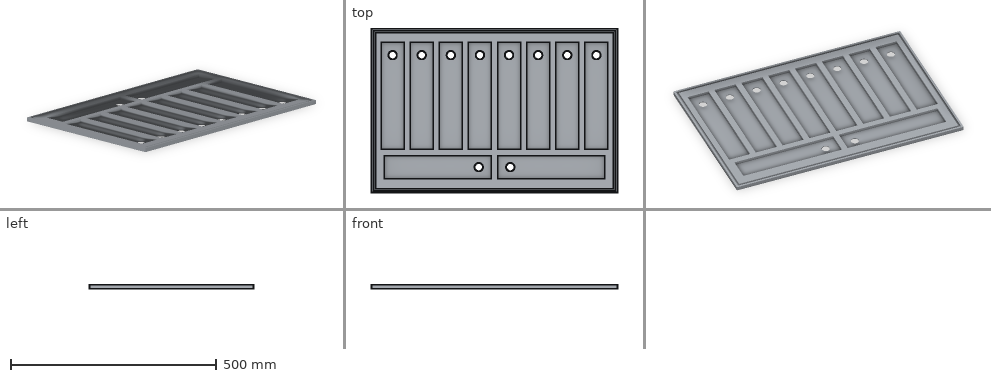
import cadquery as cq

LENGTH = 600.0
WIDTH = 400.0
THICKNESS = 10.0

RIM_WIDTH = 5.0
GROOVE_WIDTH = 5.0
GROOVE_DEPTH = 5.0

POCKET_LENGTH = 261.0
POCKET_WIDTH = 56.0
POCKET_GAP = 15.0
POCKET_DEPTH = 8.0
UPRIGHT_COUNT = 8
FIELD_CENTER_Y = 0.5

HOLE_DIAMETER = 20.0
HOLE_INSET = 31.0

FIELD_HEIGHT = POCKET_LENGTH + POCKET_GAP + POCKET_WIDTH
UPRIGHT_TOP = FIELD_CENTER_Y + FIELD_HEIGHT / 2
UPRIGHT_CENTER_Y = UPRIGHT_TOP - POCKET_LENGTH / 2
LYING_CENTER_Y = FIELD_CENTER_Y - FIELD_HEIGHT / 2 + POCKET_WIDTH / 2
UPRIGHT_PITCH = POCKET_WIDTH + POCKET_GAP
LYING_CENTER_X = (POCKET_GAP + POCKET_LENGTH) / 2


def top_block(size_x, size_y, depth, center=(0, 0)):
    """Rectangular block reaching from the top face down by depth."""
    return (
        cq.Workplane("XY", origin=(0, 0, THICKNESS - depth))
        .center(*center)
        .rect(size_x, size_y)
        .extrude(depth)
    )


def edge_groove():
    """Rectangular ring that forms the groove inside the rim."""
    outer_inset = 2 * RIM_WIDTH
    inner_inset = 2 * (RIM_WIDTH + GROOVE_WIDTH)
    outer = top_block(LENGTH - outer_inset, WIDTH - outer_inset, GROOVE_DEPTH)
    inner = top_block(LENGTH - inner_inset, WIDTH - inner_inset, GROOVE_DEPTH)
    return outer.cut(inner)


def through_hole(x, y):
    """Cylinder that drills through the full plate thickness."""
    return cq.Workplane("XY").center(x, y).circle(HOLE_DIAMETER / 2).extrude(THICKNESS)


def upright_pockets():
    """Row of upright pockets, each with a hole near its upper end."""
    cutter = cq.Workplane("XY")
    for index in range(UPRIGHT_COUNT):
        x = (index - (UPRIGHT_COUNT - 1) / 2) * UPRIGHT_PITCH
        cutter = cutter.add(top_block(POCKET_WIDTH, POCKET_LENGTH, POCKET_DEPTH, (x, UPRIGHT_CENTER_Y)))
        cutter = cutter.add(through_hole(x, UPRIGHT_TOP - HOLE_INSET))
    return cutter.combine()


def lying_pockets():
    """Mirrored pair of lying pockets, each with a hole near its inner end."""
    cutter = cq.Workplane("XY")
    for side in (-1, 1):
        center = (side * LYING_CENTER_X, LYING_CENTER_Y)
        cutter = cutter.add(top_block(POCKET_LENGTH, POCKET_WIDTH, POCKET_DEPTH, center))
        cutter = cutter.add(through_hole(side * (POCKET_GAP / 2 + HOLE_INSET), LYING_CENTER_Y))
    return cutter.combine()


plate = cq.Workplane("XY").box(LENGTH, WIDTH, THICKNESS, centered=(True, True, False))
result = plate.cut(edge_groove()).cut(upright_pockets()).cut(lying_pockets())